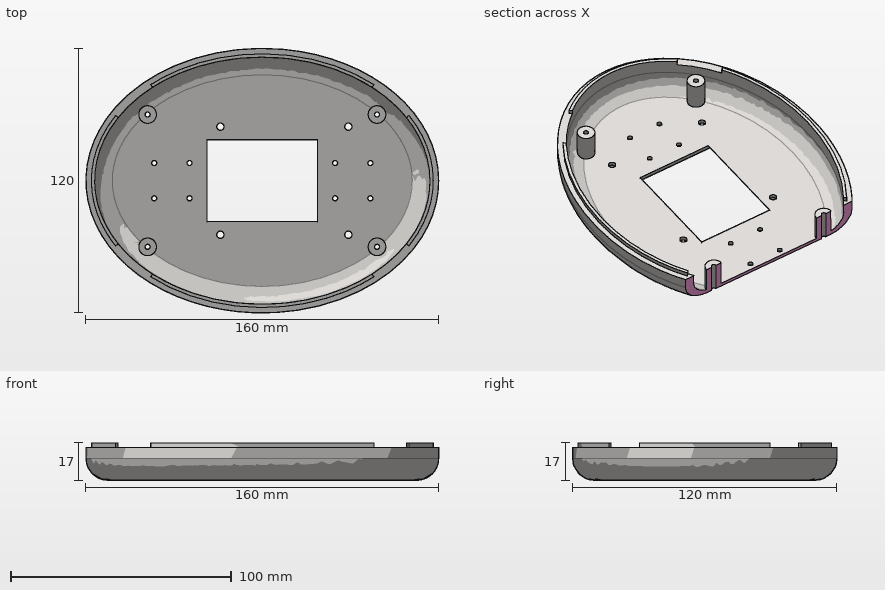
import cadquery as cq
import math

length = 160.0
width = 120.0
rim_height = 15.0
wall = 4.0
floor_thickness = 2.0
outer_fillet = 10.0
inner_fillet = outer_fillet - floor_thickness

lip_height = 2.0
lip_thickness = 1.5
total_height = rim_height + lip_height
lip_gap_width = 21.0
lip_gap_depth = 34.0
lip_gap_angle = 45.0

post_x = 52.0
post_y = 30.0
post_diameter = 8.0
post_hole_diameter = 2.2

window_length = 50.0
window_width = 37.0
window_flare_angle = 30.0

board_hole_diameter = 3.2
board_hole_spacing_x = 58.0
board_hole_spacing_y = 49.0
board_center_x = 10.0

small_hole_diameter = 2.2
small_hole_pitch = 16.0
small_group_x = 41.0

SIGNS = [(sx, sy) for sx in (-1, 1) for sy in (-1, 1)]
POST_POINTS = [(sx * post_x, sy * post_y) for sx, sy in SIGNS]


def elliptical_prism(inset, bottom, top):
    """Upright ellipse, inset from the outer outline, between two heights."""
    plane = cq.Workplane("XY").workplane(offset=bottom)
    return plane.ellipse(length / 2 - inset, width / 2 - inset).extrude(top - bottom)


def make_shell():
    """Open shell with rounded bottom edges and the interrupted lip on its rim."""
    outside = elliptical_prism(0, 0, rim_height).faces("<Z").edges().fillet(outer_fillet)
    lip_outer_inset = wall - lip_thickness
    lip = elliptical_prism(lip_outer_inset, rim_height, total_height)
    cavity = elliptical_prism(wall, floor_thickness, total_height)
    cavity = cavity.faces("<Z").edges().fillet(inner_fillet)
    for sx, sy in SIGNS:
        lip = lip.cut(make_lip_gap(sx, sy))
    return outside.union(lip).cut(cavity)


def make_lip_gap(sx, sy):
    """Block centred on one post that cuts diagonally outward across the lip."""
    gap = cq.Workplane("XY").box(lip_gap_depth, lip_gap_width, lip_height, centered=(True, True, False))
    gap = gap.rotate((0, 0, 0), (0, 0, 1), sx * sy * lip_gap_angle)
    return gap.translate((sx * post_x, sy * post_y, rim_height))


def make_posts():
    """Posts up to the rim, rooted halfway into the floor so that they fuse with it."""
    root = floor_thickness / 2
    base = cq.Workplane("XY").workplane(offset=root)
    posts = base.pushPoints(POST_POINTS).circle(post_diameter / 2)
    return posts.extrude(rim_height - root)


def make_window():
    """Window cutter whose two long sides flare outward toward the underside."""
    top_y = window_width / 2
    bottom_y = top_y + floor_thickness * math.tan(math.radians(window_flare_angle))
    profile = [(-bottom_y, 0), (bottom_y, 0), (top_y, floor_thickness), (-top_y, floor_thickness)]
    return cq.Workplane("YZ").polyline(profile).close().extrude(window_length / 2, both=True)


def make_holes(points, diameter):
    """Cutters through the full height of the part."""
    return cq.Workplane("XY").pushPoints(points).circle(diameter / 2).extrude(total_height)


def rectangle_corners(center_x, spacing_x, spacing_y):
    """Corner points of a rectangle centred on the X axis at center_x."""
    return [(center_x + sx * spacing_x / 2, sy * spacing_y / 2) for sx, sy in SIGNS]


result = make_shell().union(make_posts())
result = result.cut(make_window())
result = result.cut(make_holes(POST_POINTS, post_hole_diameter))

board_points = rectangle_corners(board_center_x, board_hole_spacing_x, board_hole_spacing_y)
result = result.cut(make_holes(board_points, board_hole_diameter))

for group_x in (-small_group_x, small_group_x):
    small_points = rectangle_corners(group_x, small_hole_pitch, small_hole_pitch)
    result = result.cut(make_holes(small_points, small_hole_diameter))